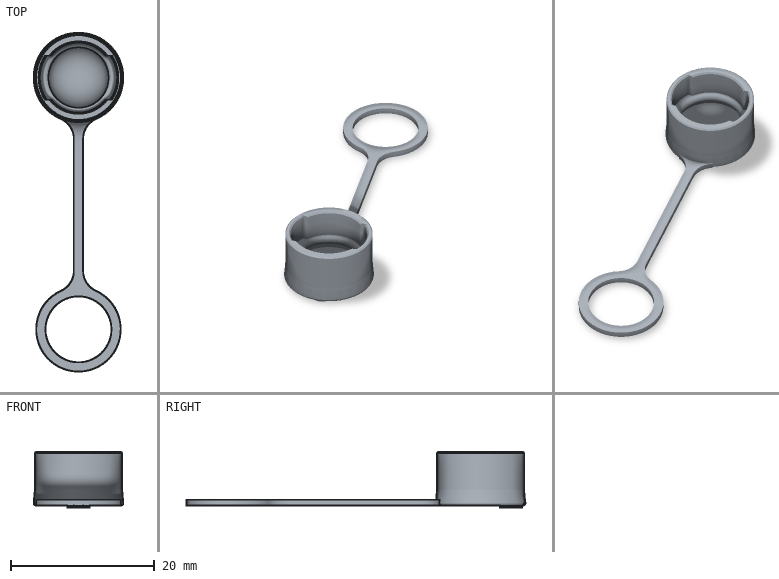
import cadquery as cq
import math

overall_length = 47.15
cap_height = 7.5

cap_radius = 6.1
base_radius = 6.25
flare_top = 2.25
base_round = 0.4
rim_chamfer = 0.2

bore_radius = 4.85
bead_top = 3.6
bead_radius = 0.65
well_floor = 1.45
relief_radius = 5.38
mouth_chamfer_width = 0.2
mouth_chamfer_height = 0.25
relief_width = 6.15

strap_thickness = 0.85
strap_width = 1.3
ring_radius = 5.9
ring_hole_radius = 4.57
blend_radius = 3.0

pad_radius = 1.55
pad_offset = 4.25
pad_thickness = 0.3

ring_distance = overall_length - base_radius - ring_radius


def disc(radius, bottom, top, y=0):
    """Upright cylinder between two heights."""
    return cq.Workplane("XY", origin=(0, y, bottom)).circle(radius).extrude(top - bottom)


def cap_body():
    """Solid cap with a flared, rounded base and a chamfered rim."""
    profile = (
        cq.Workplane("XZ")
        .lineTo(base_radius - base_round, 0)
        .radiusArc((base_radius, base_round), -base_round)
        .lineTo(cap_radius, flare_top)
        .lineTo(cap_radius, cap_height)
        .lineTo(0, cap_height)
        .close()
    )
    body = profile.revolve(360, (0, 0), (0, 1))
    return body.faces(">Z").edges().chamfer(rim_chamfer)


def bore_cut(radius, bottom):
    """Round bore from a given height up to the rim, with a chamfered mouth."""
    profile = (
        cq.Workplane("XZ")
        .moveTo(0, bottom)
        .lineTo(radius, bottom)
        .lineTo(radius, cap_height - mouth_chamfer_height)
        .lineTo(radius + mouth_chamfer_width, cap_height)
        .lineTo(0, cap_height)
        .close()
    )
    return profile.revolve(360, (0, 0), (0, 1))


def sealing_bead():
    """Ring of half-round section on the bore wall."""
    bead_middle = bead_top - bead_radius
    profile = (
        cq.Workplane("XZ")
        .moveTo(bore_radius, bead_middle - bead_radius)
        .threePointArc((bore_radius - bead_radius, bead_middle), (bore_radius, bead_top))
        .close()
    )
    return profile.revolve(360, (0, 0), (0, 1))


def cap_cavity():
    """Beaded bore with a wider relief on each X side above the bead."""
    bore = bore_cut(bore_radius, well_floor).cut(sealing_bead())
    slab = (
        cq.Workplane("XY", origin=(0, 0, bead_top))
        .rect(2 * base_radius, relief_width)
        .extrude(cap_height - bead_top)
    )
    relief = bore_cut(relief_radius, bead_top).intersect(slab)
    return bore.union(relief)


def strap_blend(disc_radius, center_y, direction):
    """Strap end from a disc centre, widening to meet the disc tangentially."""
    half = strap_width / 2
    blend_x = half + blend_radius
    blend_y = math.sqrt((disc_radius + blend_radius) ** 2 - blend_x**2)
    touch = disc_radius / (disc_radius + blend_radius)
    touch_x = blend_x * touch
    touch_y = center_y + direction * blend_y * touch
    end_y = center_y + direction * blend_y
    turn = direction * blend_radius
    return (
        cq.Workplane("XY")
        .moveTo(0, center_y)
        .lineTo(touch_x, touch_y)
        .radiusArc((half, end_y), turn)
        .lineTo(-half, end_y)
        .radiusArc((-touch_x, touch_y), turn)
        .close()
        .extrude(strap_thickness)
    )


def strap_and_ring():
    """Flat strap running to the ring, blended at both ends."""
    strap = (
        cq.Workplane("XY", origin=(0, -ring_distance / 2, 0))
        .rect(strap_width, ring_distance)
        .extrude(strap_thickness)
    )
    ring = disc(ring_radius, 0, strap_thickness, -ring_distance)
    hole = disc(ring_hole_radius, 0, strap_thickness, -ring_distance)
    cap_end = strap_blend(base_radius, 0, -1)
    ring_end = strap_blend(ring_radius, -ring_distance, 1)
    return strap.union(ring).union(cap_end).union(ring_end).cut(hole)


pad = disc(pad_radius, -pad_thickness, base_round, pad_offset)
result = cap_body().union(strap_and_ring()).cut(cap_cavity()).union(pad)